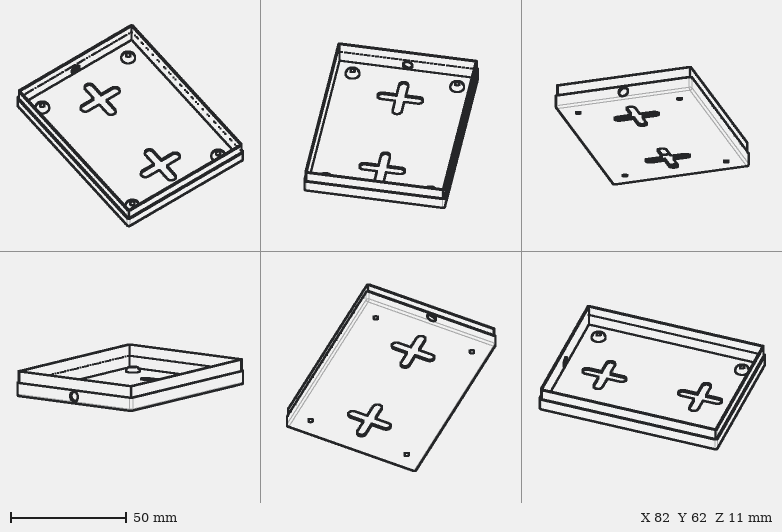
import cadquery as cq

length = 82.0
width = 62.0
height = 11.0
wall = 1.0
floor = 1.0
outer_radius = 1.0

lip_height = 5.0
lip_inset = 0.5
lip_radius = outer_radius - lip_inset / 2

post_diameter = 6.1
post_height = 2.0
post_hole_diameter = 2.0
post_x = 33.05
post_y = 23.05

slot_length = 20.0
slot_width = 4.0
slot_x = 22.05

cable_hole_diameter = 4.2
cable_hole_z = 3.3


def tray():
    """Stepped, open-topped box with a rounded bottom edge."""
    step_z = height - lip_height
    base = cq.Workplane("XY").box(length, width, step_z, centered=(True, True, False))
    base = base.edges("|Z or <Z").fillet(outer_radius)
    lip = (
        cq.Workplane("XY", origin=(0, 0, floor + outer_radius))
        .rect(length - 2 * lip_inset, width - 2 * lip_inset)
        .extrude(height - floor - outer_radius)
        .edges("|Z")
        .fillet(lip_radius)
    )
    cavity = (
        cq.Workplane("XY", origin=(0, 0, floor))
        .rect(length - 2 * wall, width - 2 * wall)
        .extrude(height - floor)
    )
    return base.union(lip).cut(cavity)


def screw_posts():
    """Round posts whose top edge is rounded down to the floor, leaving a small flat."""
    post_radius = post_diameter / 2
    flat_radius = post_radius - post_height
    arc_middle = post_height * 0.5**0.5
    post = (
        cq.Workplane("XZ")
        .lineTo(post_radius, 0)
        .lineTo(post_radius, floor)
        .threePointArc(
            (flat_radius + arc_middle, floor + arc_middle),
            (flat_radius, floor + post_height),
        )
        .lineTo(0, floor + post_height)
        .close()
        .revolve(360, (0, 0, 0), (0, 1, 0))
        .val()
    )
    posts = cq.Workplane("XY").rect(2 * post_x, 2 * post_y, forConstruction=True).vertices()
    return posts.eachpoint(lambda location: post.moved(location))


def post_holes():
    return (
        cq.Workplane("XY")
        .rect(2 * post_x, 2 * post_y, forConstruction=True)
        .vertices()
        .circle(post_hole_diameter / 2)
        .extrude(height)
    )


def cross_slots():
    centres = cq.Workplane("XY").pushPoints([(-slot_x, 0), (slot_x, 0)])
    along_x = centres.slot2D(slot_length, slot_width).extrude(height)
    along_y = centres.slot2D(slot_length, slot_width, 90).extrude(height)
    return along_x.union(along_y)


def cable_hole():
    return (
        cq.Workplane("YZ", origin=(-length / 2, 0, cable_hole_z))
        .circle(cable_hole_diameter / 2)
        .extrude(wall)
    )


result = tray().union(screw_posts())
result = result.cut(post_holes()).cut(cross_slots()).cut(cable_hole())